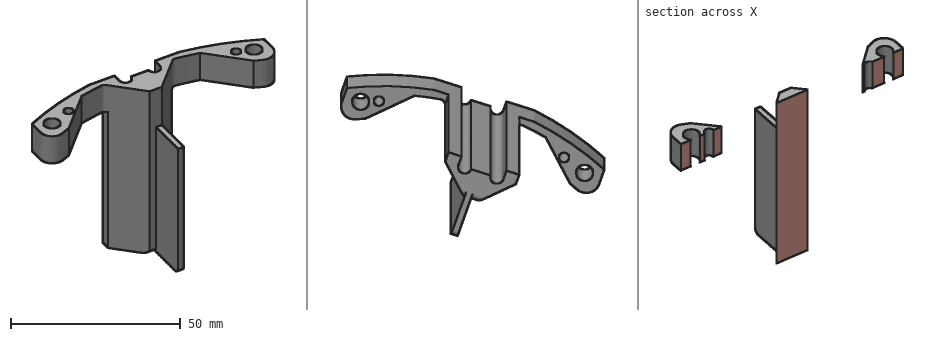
import cadquery as cq
import math

total_height = 60.0
arm_thickness = 10.0
arm_bottom = total_height - arm_thickness
fin_top = 46.0

half_span = 40.0
flat_half_width = 15.6
back_radius = 94.3
web_thickness = 2.6
back_center_x = math.sqrt(back_radius**2 - flat_half_width**2)
web_radius = back_radius - web_thickness

tip_radius = 4.0
tip_center_x = 12.45
tip_tangent_angle = math.radians(-23)
heel_x = 15.0
arm_line_offset = 16.8

bolt_diameter = 5.0
bolt_x = 10.45
bolt_y = 34.8
pin_diameter = 3.0
pin_positions = [(8.5, 29.8), (7.8, -27.5)]

column_half_width = 11.0
nose_x = 12.0
nose_half_width = 2.1
nose_edge_radius = 1.8
root_fillet = 1.5

pad_x = 2.9
groove_radius = 1.97
groove_center_x = 2.9
groove_y = 5.0

fin_end_x = 24.5
fin_thickness = 2.0
fin_corner_radius = nose_edge_radius


def arc_x(radius, y):
    """X of the arc of given radius about the back's centre, at the given Y."""
    return back_center_x - math.sqrt(radius**2 - y**2)


def arc_crossing_y(slope, offset):
    """Y where the line y = slope * x + offset first meets the inner web arc."""
    a = 1 + slope**2
    b = 2 * (slope * offset - back_center_x)
    c = back_center_x**2 + offset**2 - web_radius**2
    x = (-b - math.sqrt(b**2 - 4 * a * c)) / (2 * a)
    return slope * x + offset


def make_half():
    """+Y half of the full-height section, with the corner between web and nose rounded."""
    tip_center_y = half_span - tip_radius
    tangent_x = tip_center_x + tip_radius * math.cos(tip_tangent_angle)
    tangent_y = tip_center_y + tip_radius * math.sin(tip_tangent_angle)
    outer_y = arc_crossing_y(1, arm_line_offset)
    root_y = arc_crossing_y(-1, nose_x + nose_half_width)
    back_end = (arc_x(back_radius, half_span), half_span)
    back_mid_y = (flat_half_width + half_span) / 2
    web_mid_y = (outer_y + root_y) / 2
    root = (arc_x(web_radius, root_y), root_y)
    half = (
        cq.Workplane("XY")
        .moveTo(0, 0)
        .lineTo(0, flat_half_width)
        .threePointArc((arc_x(back_radius, back_mid_y), back_mid_y), back_end)
        .lineTo(tip_center_x, half_span)
        .threePointArc((tip_center_x + tip_radius, tip_center_y), (tangent_x, tangent_y))
        .lineTo(heel_x, heel_x + arm_line_offset)
        .lineTo(arc_x(web_radius, outer_y), outer_y)
        .threePointArc((arc_x(web_radius, web_mid_y), web_mid_y), root)
        .lineTo(nose_x, nose_half_width)
        .lineTo(nose_x, 0)
        .close()
        .extrude(total_height)
    )
    root_edge = cq.selectors.NearestToPointSelector((*root, total_height / 2))
    return half.edges(root_edge).fillet(root_fillet)


def make_body():
    """Arms at the top with the column of the same section below them."""
    half = make_half()
    body = half.union(half.mirror("XZ"))
    for side in (1, -1):
        below_arm = cq.Workplane("XY").box(fin_end_x, half_span, arm_bottom, centered=(False, True, False))
        body = body.cut(below_arm.translate((0, side * (column_half_width + half_span / 2), 0)))
    nose_edge = cq.selectors.NearestToPointSelector((nose_x, 0, 0))
    return body.edges(nose_edge).fillet(nose_edge_radius)


def make_recess():
    """Cutter for the rear recess and its two grooves."""
    recess_width = 2 * (groove_y + groove_radius)
    recess = cq.Workplane("XY").box(pad_x, recess_width, total_height, centered=(False, True, False))
    grooves = (
        cq.Workplane("XY")
        .pushPoints([(groove_center_x, groove_y), (groove_center_x, -groove_y)])
        .circle(groove_radius)
        .extrude(total_height)
    )
    return recess.union(grooves)


def make_holes():
    """Cutter for the bolt and pin holes through both arms."""
    bolts = (
        cq.Workplane("XY")
        .pushPoints([(bolt_x, bolt_y), (bolt_x, -bolt_y)])
        .circle(bolt_diameter / 2)
        .extrude(total_height)
    )
    pins = cq.Workplane("XY").pushPoints(pin_positions).circle(pin_diameter / 2).extrude(total_height)
    return bolts.union(pins)


def make_fin():
    """Plate along +X, flush with the +Y side of the nose, lower outer corner rounded."""
    fin_start_x = nose_x - 2 * nose_edge_radius
    fin = cq.Workplane("XY").box(fin_end_x - fin_start_x, fin_thickness, fin_top, centered=False)
    fin = fin.edges("|Y and >X and <Z").fillet(fin_corner_radius)
    return fin.translate((fin_start_x, nose_half_width - fin_thickness, 0))


result = make_body().cut(make_recess()).cut(make_holes()).union(make_fin())